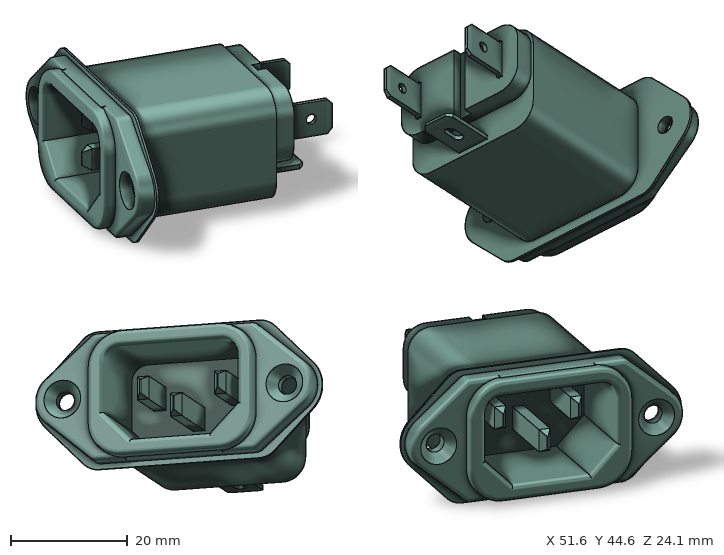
import cadquery as cq
import math


bezel_front_y = 2.0
flange_front_y = 5.05
flange_back_y = 5.45
can_back_y = 32.4
block_back_y = 35.85
cavity_depth = 16.0

flange_length = 51.6
flange_height = 24.15
flange_corner_r = 3.95
bezel_length = 50.05
bezel_height = 22.3
bezel_corner_half_x = 14.55
bezel_corner_r = 1.75
edge_r = 0.75
ledge_edge_r = 0.25
screw_x = 20.0
screw_hole_d = 3.25
countersink_d = 6.6
countersink_angle = 90.0

collar_width = 29.85
collar_height = 21.9
collar_corner_r = 6.2
cavity_width = 24.25
cavity_height = 16.45
cavity_chamfer = 5.05
cavity_corner_r = 2.95
mouth_r = 0.8

can_width = 27.6
can_height = 20.35
can_corner_r = 4.2
block_width = 26.65
block_top_z = 9.65
block_bottom_z = -3.95
block_corner_r = 4.15
notch_width = 2.5
notch_depth = 1.65

pin_width = 2.05
pin_height = 4.0
pin_spacing = 13.95
pin_z = 2.0
live_pin_front_y = 5.0
earth_pin_front_y = 2.0
pin_tip_length = 1.55
pin_tip_width = 0.2
pin_tip_height = 2.35
bridge_y = 29.4
bridge_thickness = 0.8
tab_width = 6.35
tab_thickness = 0.8
tab_tip_width = 4.45
tab_tip_thickness = 0.5
tab_tip_length = 1.0
shoulder_width = 7.2
shoulder_back_y = 36.35
live_tab_end_y = 44.6
live_tab_spacing = 18.6
live_tab_z = 2.75
live_hole_d = 1.8
live_hole_y = 40.6
earth_tab_end_y = 42.15
earth_tab_z = -8.75
earth_slot_width = 1.8
earth_slot_start_y = 35.25
earth_slot_end_y = 39.2


def section_at(y, x=0.0, z=0.0):
    """Workplane facing the front; a negative extrusion runs back along +Y."""
    return cq.Workplane("XZ", origin=(x, y, z))


def bar(y_start, y_end, width, height, x=0.0, z=0.0):
    """Rectangular bar along Y, centred on (x, z)."""
    return section_at(y_start, x, z).rect(width, height).extrude(y_start - y_end)


def rounded_bar(y_start, y_end, width, height, corner_r, z=0.0):
    """Bar along Y whose four long edges are rounded."""
    return bar(y_start, y_end, width, height, z=z).edges("|Y").fillet(corner_r)


def tapered_tip(base_y, base_size, tip_y, tip_size, x, z):
    """Tip that shrinks from a base rectangle to a smaller rectangle."""
    return (
        section_at(base_y, x, z)
        .rect(*base_size)
        .workplane(offset=base_y - tip_y)
        .rect(*tip_size)
        .loft(ruled=True)
    )


def lozenge(y_start, y_end, half_length, half_height, corner_half_x, corner_r):
    """Plate with rounded screw ears joined to a flat top and bottom by straight flanks."""
    end_r = half_length - screw_x
    run = screw_x - corner_half_x
    normal_angle = math.atan2(half_height, -run) - math.acos(end_r / math.hypot(run, half_height))
    tangent_x = screw_x + end_r * math.cos(normal_angle)
    tangent_z = end_r * math.sin(normal_angle)
    return (
        section_at(y_start)
        .moveTo(corner_half_x, half_height)
        .lineTo(tangent_x, tangent_z)
        .threePointArc((half_length, 0), (tangent_x, -tangent_z))
        .lineTo(corner_half_x, -half_height)
        .lineTo(-corner_half_x, -half_height)
        .lineTo(-tangent_x, -tangent_z)
        .threePointArc((-half_length, 0), (-tangent_x, tangent_z))
        .lineTo(-corner_half_x, half_height)
        .close()
        .extrude(y_start - y_end)
        .faces(">Z or <Z")
        .edges("|Y")
        .fillet(corner_r)
    )


def make_flange():
    """Thin plate whose flanks run at 45 degrees."""
    end_r = flange_length / 2 - screw_x
    corner_half_x = screw_x + end_r * math.sqrt(2) - flange_height / 2
    return lozenge(flange_front_y, flange_back_y, flange_length / 2, flange_height / 2,
                   corner_half_x, flange_corner_r)


def make_bezel():
    bezel = lozenge(bezel_front_y, flange_front_y, bezel_length / 2, bezel_height / 2,
                    bezel_corner_half_x, bezel_corner_r)
    return bezel.faces("<Y").edges().fillet(edge_r)


def make_collar():
    collar = rounded_bar(0, flange_front_y, collar_width, collar_height, collar_corner_r)
    return collar.faces("<Y").edges().fillet(edge_r)


def make_ledges():
    """Narrow ledges above and below the straight part of the collar, with a sharper front edge."""
    straight_width = collar_width - 2 * collar_corner_r
    ledges = bar(bezel_front_y, flange_front_y, straight_width, bezel_height)
    return ledges.edges("|X and <Y").fillet(ledge_edge_r)


def make_cavity():
    """Socket cavity: rounded top corners, bevelled bottom corners."""
    cavity = bar(0, cavity_depth, cavity_width, cavity_height)
    cavity = cavity.edges("|Y and <Z").chamfer(cavity_chamfer)
    return cavity.edges("|Y and >Z").fillet(cavity_corner_r)


def make_block():
    """Rear terminal block with a notch through its height at the back."""
    height = block_top_z - block_bottom_z
    middle_z = (block_top_z + block_bottom_z) / 2
    block = rounded_bar(can_back_y, block_back_y, block_width, height, block_corner_r, middle_z)
    notch = bar(block_back_y - notch_depth, block_back_y, notch_width, height, z=middle_z)
    return block.cut(notch)


def make_housing(contacts):
    """Moulded front, can and block in one solid, with matching seats for the contacts."""
    can = rounded_bar(flange_front_y, can_back_y, can_width, can_height, can_corner_r)
    body = make_flange().union(make_bezel()).union(make_ledges()).union(make_collar())
    body = body.union(can).union(make_block())
    body = body.cut(make_cavity())
    mouth = body.faces("<Y").wires(cq.selectors.LengthNthSelector(0))
    body = mouth.edges().fillet(mouth_r)
    body = (
        section_at(bezel_front_y).add(body)
        .pushPoints([(-screw_x, 0), (screw_x, 0)])
        .cskHole(screw_hole_d, countersink_d, countersink_angle)
    )
    for contact in contacts:
        body = body.cut(contact)
    return body


def make_pin(front_y, x, z):
    """Flat blade inside the cavity, reaching back to the bridge."""
    shaft_y = front_y + pin_tip_length
    shaft = bar(shaft_y, bridge_y, pin_width, pin_height, x, z)
    tip = tapered_tip(shaft_y, (pin_width, pin_height), front_y,
                      (pin_tip_width, pin_tip_height), x, z)
    return shaft.union(tip)


def make_live_contact(side):
    """Line or neutral contact: pin, bridge and upright shouldered tab."""
    pin_x = side * pin_spacing / 2
    tab_x = side * live_tab_spacing / 2
    taper_y = live_tab_end_y - tab_tip_length
    bridge_end_y = bridge_y + bridge_thickness
    bridge_inner = pin_spacing / 2 - pin_width / 2
    bridge_outer = live_tab_spacing / 2 + tab_thickness / 2
    bridge = bar(bridge_y, bridge_end_y, bridge_outer - bridge_inner, pin_height,
                 side * (bridge_outer + bridge_inner) / 2, pin_z)
    shoulder = bar(bridge_y, shoulder_back_y, tab_thickness, shoulder_width, tab_x, live_tab_z)
    tab = bar(bridge_y, taper_y, tab_thickness, tab_width, tab_x, live_tab_z)
    tip = tapered_tip(taper_y, (tab_thickness, tab_width), live_tab_end_y,
                      (tab_tip_thickness, tab_tip_width), tab_x, live_tab_z)
    hole = (
        cq.Workplane("YZ", origin=(tab_x, live_hole_y, live_tab_z))
        .circle(live_hole_d / 2)
        .extrude(tab_thickness, both=True)
    )
    pin = make_pin(live_pin_front_y, pin_x, pin_z)
    return pin.union(bridge).union(shoulder).union(tab).union(tip).cut(hole)


def make_earth_contact():
    """Earth contact: pin, bridge and flat slotted tab below the block."""
    taper_y = earth_tab_end_y - tab_tip_length
    bridge_top = -pin_z + pin_height / 2
    bridge_bottom = earth_tab_z - tab_thickness / 2
    bridge = bar(bridge_y, bridge_y + bridge_thickness, pin_width, bridge_top - bridge_bottom,
                 0, (bridge_top + bridge_bottom) / 2)
    tab = bar(bridge_y, taper_y, tab_width, tab_thickness, 0, earth_tab_z)
    tip = tapered_tip(taper_y, (tab_width, tab_thickness), earth_tab_end_y,
                      (tab_tip_width, tab_tip_thickness), 0, earth_tab_z)
    slot = (
        cq.Workplane("XY", origin=(0, (earth_slot_start_y + earth_slot_end_y) / 2, earth_tab_z))
        .slot2D(earth_slot_end_y - earth_slot_start_y, earth_slot_width, 90)
        .extrude(tab_thickness, both=True)
    )
    pin = make_pin(earth_pin_front_y, 0, -pin_z)
    return pin.union(bridge).union(tab).union(tip).cut(slot)


live_contacts = [make_live_contact(side) for side in (-1, 1)]
earth_contact = make_earth_contact()
housing = make_housing([*live_contacts, earth_contact])

result = cq.Compound.makeCompound(
    [housing.val(), *[contact.val() for contact in live_contacts], earth_contact.val()]
)